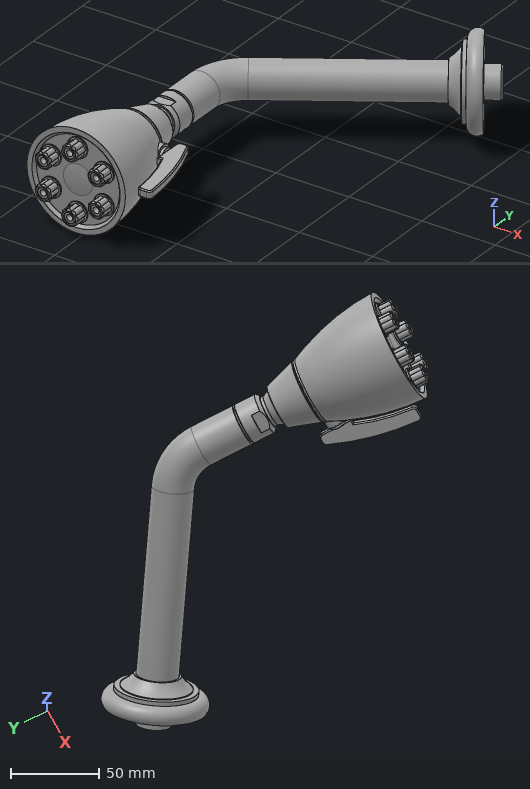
import cadquery as cq
import math


RIM_R = 33.8
RIM_INNER_R = 30.2
FACE_R = 28.3
FACE_DEPTH = 2.0
DOME_R = 10.0
DOME_RISE = 0.8
DOME_MID_RISE = 0.75 * DOME_RISE
BELL_MID_R = 29.0
BELL_MID_Y = 32.2
BELL_TOP_R = 20.0
BELL_TOP_Y = 56.5
GROOVE_R = 17.8
GROOVE_BOTTOM_Y = 57.7
GROOVE_TOP_Y = 58.8
CONE_BASE_R = 19.5
CONE_TOP_R = 13.5
CONE_TOP_Y = 78.0
FLARE_BASE_R = 11.5
FLARE_TOP_Y = 82.7
NECK_R = 9.3

NOZZLE_COUNT = 6
NOZZLE_PITCH_R = 21.0
NOZZLE_TIP_Y = -7.2
NOZZLE_R = 5.7
LOBE_COUNT = 8
LOBE_R = 2.0
FIRST_LOBE_ANGLE = 7.5
NOZZLE_TIP_CHAMFER = 1.0
COLLAR_R = 6.7
COLLAR_HEIGHT = 1.0
TIP_RECESS_R = 3.5
TIP_RECESS_DEPTH = 0.8
SPRAY_HOLE_R = 2.0
SPRAY_HOLE_END_R = 0.8
SPRAY_HOLE_DEPTH = 3.9

BOSS_R = 6.5
BOSS_Y = 53.0
BOSS_END_X = 24.0
LEVER_BACK_X = 25.3
LEVER_PIVOT_R = 5.0
LEVER_THICKNESS = 5.7
LEVER_TOP_Y = 66.2
LEVER_TOP_OUTER_X = 32.2
LEVER_OUTER_MID = (41.5, 38.0)
LEVER_TIP_Y = 8.8
LEVER_TIP_OUTER_X = 45.0
LEVER_TIP_INNER_X = 35.8
LEVER_INNER_MID = (33.0, 29.6)
LEVER_HEEL_X = 28.3
LEVER_HEEL_Y = 44.5
LEVER_TOP_FILLET = 3.0
LEVER_TIP_FILLET = 2.5
LEVER_EDGE_CHAMFER = 0.8

PIPE_R = 12.4
NUT_BOTTOM_Y = 84.5
NUT_TOP_Y = 99.5
NUT_CHAMFER = 2.0
NUT_SHOULDER_R = 10.8
NUT_FLAT_HALF_WIDTH = 10.8
NUT_FLAT_TOP_Y = 92.0

ARM_START_Y = 100.8
BEND_START_Y = 127.3
BEND_R = 31.0
BEND_ANGLE = 57.3
STRAIGHT_LENGTH = 133.5
STUB_R = 10.5
STUB_LENGTH = 10.8
STUB_CHAMFER = 1.0

FLANGE_BACK_R = 29.6
FLANGE_BULGE_R = 30.7
FLANGE_NOSE_R = 13.7
FLANGE_NOSE = 20.0
FLANGE_CONE_END_R = 21.0
FLANGE_CONE_END = 13.0
FLANGE_CONE_MID_R = 17.0
FLANGE_CONE_MID = 16.0
LEDGE_R = 24.2
LEDGE_FRONT = 12.4
LEDGE_BACK = 9.8
FLANGE_BULGE = 5.7

BEND_RADIANS = math.radians(BEND_ANGLE)
BEND_END = (
    BEND_R * (1 - math.cos(BEND_RADIANS)),
    BEND_START_Y + BEND_R * math.sin(BEND_RADIANS),
)
ARM_DIRECTION = (math.sin(BEND_RADIANS), math.cos(BEND_RADIANS))


def spin(profile):
    """Revolve a closed (radius, height) profile about the Y axis."""
    return profile.close().revolve(360, (0, 0, 0), (0, 1, 0))


def cylinder_y(radius, start, end):
    """Cylinder on the Y axis between two heights."""
    return cq.Workplane("XZ", origin=(0, start, 0)).circle(radius).extrude(start - end)


def place_on_arm(body, distance):
    """Turn a body built along Y to the slanted arm, its origin at a distance past the bend."""
    x = BEND_END[0] + distance * ARM_DIRECTION[0]
    y = BEND_END[1] + distance * ARM_DIRECTION[1]
    return body.rotate((0, 0, 0), (0, 0, 1), -BEND_ANGLE).translate((x, y, 0))


def make_nozzle():
    """Lobed nozzle on the Y axis, standing on the face with a round collar at its foot."""
    body = cylinder_y(NOZZLE_R - LOBE_R, NOZZLE_TIP_Y, FACE_DEPTH)
    for i in range(LOBE_COUNT):
        angle = math.radians(FIRST_LOBE_ANGLE + 360 * i / LOBE_COUNT)
        reach = NOZZLE_R - LOBE_R
        lobe = cylinder_y(LOBE_R, NOZZLE_TIP_Y, FACE_DEPTH)
        body = body.union(lobe.translate((reach * math.cos(angle), 0, reach * math.sin(angle))))
    envelope = spin(
        cq.Workplane("XY")
        .moveTo(0, NOZZLE_TIP_Y)
        .lineTo(NOZZLE_R - NOZZLE_TIP_CHAMFER, NOZZLE_TIP_Y)
        .lineTo(NOZZLE_R, NOZZLE_TIP_Y + NOZZLE_TIP_CHAMFER)
        .lineTo(NOZZLE_R, FACE_DEPTH)
        .lineTo(0, FACE_DEPTH)
    )
    hole_start = NOZZLE_TIP_Y + TIP_RECESS_DEPTH
    hole_end = hole_start + SPRAY_HOLE_DEPTH
    spray_hole = spin(
        cq.Workplane("XY")
        .moveTo(0, NOZZLE_TIP_Y)
        .lineTo(TIP_RECESS_R, NOZZLE_TIP_Y)
        .lineTo(TIP_RECESS_R, hole_start)
        .lineTo(SPRAY_HOLE_R, hole_start)
        .lineTo(SPRAY_HOLE_END_R, hole_end)
        .lineTo(0, hole_end)
    )
    collar = cylinder_y(COLLAR_R, FACE_DEPTH - COLLAR_HEIGHT, FACE_DEPTH)
    return body.intersect(envelope).union(collar).cut(spray_hole)


def make_head():
    """Bell-shaped head with its recessed face, nozzles, lever boss and neck."""
    head = spin(
        cq.Workplane("XY")
        .moveTo(0, FACE_DEPTH - DOME_RISE)
        .threePointArc((DOME_R / 2, FACE_DEPTH - DOME_MID_RISE), (DOME_R, FACE_DEPTH))
        .lineTo(FACE_R, FACE_DEPTH)
        .lineTo(RIM_INNER_R, 0)
        .lineTo(RIM_R, 0)
        .threePointArc((BELL_MID_R, BELL_MID_Y), (BELL_TOP_R, BELL_TOP_Y))
        .lineTo(BELL_TOP_R, GROOVE_BOTTOM_Y)
        .lineTo(GROOVE_R, GROOVE_BOTTOM_Y)
        .lineTo(GROOVE_R, GROOVE_TOP_Y)
        .lineTo(CONE_BASE_R, GROOVE_TOP_Y)
        .lineTo(CONE_TOP_R, CONE_TOP_Y)
        .lineTo(FLARE_BASE_R, CONE_TOP_Y)
        .lineTo(NECK_R, FLARE_TOP_Y)
        .lineTo(NECK_R, NUT_BOTTOM_Y)
        .lineTo(0, NUT_BOTTOM_Y)
    )
    boss = cq.Workplane("YZ").center(BOSS_Y, 0).circle(BOSS_R).extrude(BOSS_END_X)
    head = head.union(boss)
    nozzle = make_nozzle()
    for i in range(NOZZLE_COUNT):
        turned = nozzle.translate((0, 0, NOZZLE_PITCH_R))
        head = head.union(turned.rotate((0, 0, 0), (0, 1, 0), 360 * i / NOZZLE_COUNT))
    return head


def make_lever():
    """Curved flat lever with a round pivot against the boss."""
    blade = (
        cq.Workplane("XY", origin=(0, 0, -LEVER_THICKNESS / 2))
        .moveTo(LEVER_BACK_X, LEVER_HEEL_Y)
        .lineTo(LEVER_BACK_X, LEVER_TOP_Y)
        .lineTo(LEVER_TOP_OUTER_X, LEVER_TOP_Y)
        .threePointArc(LEVER_OUTER_MID, (LEVER_TIP_OUTER_X, LEVER_TIP_Y))
        .lineTo(LEVER_TIP_INNER_X, LEVER_TIP_Y)
        .threePointArc(LEVER_INNER_MID, (LEVER_HEEL_X, LEVER_HEEL_Y))
        .close()
        .extrude(LEVER_THICKNESS)
    )
    blade = blade.edges("|Z").edges(">Y").fillet(LEVER_TOP_FILLET)
    blade = blade.edges("|Z").edges("<Y").fillet(LEVER_TIP_FILLET)
    blade = blade.faces("<Z or >Z").edges().chamfer(LEVER_EDGE_CHAMFER)
    pivot = (
        cq.Workplane("YZ", origin=(BOSS_END_X, 0, 0))
        .center(BOSS_Y, 0)
        .circle(LEVER_PIVOT_R)
        .extrude(LEVER_BACK_X + LEVER_EDGE_CHAMFER - BOSS_END_X)
    )
    return blade.union(pivot)


def make_swivel_nut():
    """Round nut with a stepped-in shoulder, chamfered bottom and two wrench flats."""
    nut = spin(
        cq.Workplane("XY")
        .moveTo(0, NUT_BOTTOM_Y)
        .lineTo(PIPE_R - NUT_CHAMFER, NUT_BOTTOM_Y)
        .lineTo(PIPE_R, NUT_BOTTOM_Y + NUT_CHAMFER)
        .lineTo(PIPE_R, NUT_TOP_Y)
        .lineTo(NUT_SHOULDER_R, NUT_TOP_Y)
        .lineTo(NUT_SHOULDER_R, ARM_START_Y)
        .lineTo(0, ARM_START_Y)
    )
    flat_length = NUT_FLAT_TOP_Y - NUT_BOTTOM_Y
    flat_depth = PIPE_R - NUT_FLAT_HALF_WIDTH
    for side in (-1, 1):
        flat = cq.Workplane("XY").box(2 * PIPE_R, flat_length, flat_depth).translate(
            (0, NUT_BOTTOM_Y + flat_length / 2, side * (NUT_FLAT_HALF_WIDTH + flat_depth / 2))
        )
        nut = nut.cut(flat)
    return nut


def make_arm():
    """Bent round arm with a thinner chamfered stub that enters the wall."""
    lower = cylinder_y(PIPE_R, ARM_START_Y, BEND_START_Y)
    bend = (
        cq.Workplane("XZ", origin=(0, BEND_START_Y, 0))
        .circle(PIPE_R)
        .revolve(BEND_ANGLE, (BEND_R, 2.5, 0), (BEND_R, 0, 0))
    )
    straight = place_on_arm(cylinder_y(PIPE_R, 0, STRAIGHT_LENGTH), 0)
    stub = cylinder_y(STUB_R, 0, STUB_LENGTH).faces(">Y").chamfer(STUB_CHAMFER)
    return lower.union(bend).union(straight).union(place_on_arm(stub, STRAIGHT_LENGTH))


def make_flange():
    """Stepped and rounded wall flange with a through bore for the arm."""
    flange = spin(
        cq.Workplane("XY")
        .moveTo(PIPE_R, 0)
        .lineTo(PIPE_R, -FLANGE_NOSE)
        .lineTo(FLANGE_NOSE_R, -FLANGE_NOSE)
        .threePointArc((FLANGE_CONE_MID_R, -FLANGE_CONE_MID), (FLANGE_CONE_END_R, -FLANGE_CONE_END))
        .lineTo(FLANGE_CONE_END_R, -LEDGE_FRONT)
        .lineTo(LEDGE_R, -LEDGE_FRONT)
        .lineTo(LEDGE_R, -LEDGE_BACK)
        .threePointArc((FLANGE_BULGE_R, -FLANGE_BULGE), (FLANGE_BACK_R, 0))
    )
    return place_on_arm(flange, STRAIGHT_LENGTH)


head = make_head()
lever = make_lever()
swivel_nut = make_swivel_nut()
arm = make_arm()
flange = make_flange()

result = cq.Compound.makeCompound(
    [head.val(), lever.val(), swivel_nut.val(), arm.val(), flange.val()]
)